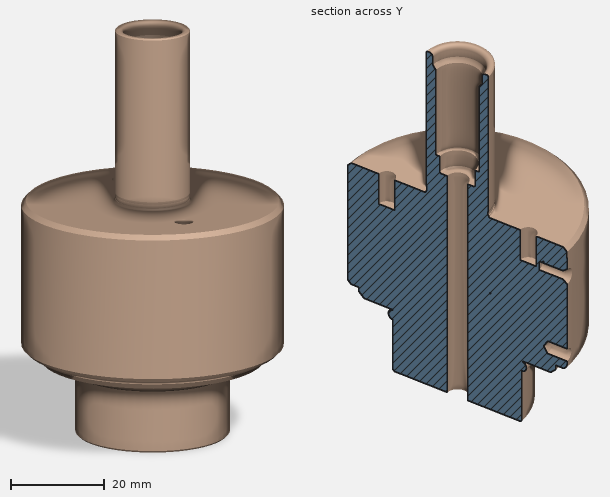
import cadquery as cq
import math

TOTAL_HEIGHT = 89.2
RING_BOTTOM = 13.65
SHOULDER_BOTTOM = 16.3
BODY_BOTTOM = 18.7
BODY_TOP = 51.3

SPIGOT_DIAMETER = 33.0
SHOULDER_DIAMETER = 50.3
BODY_DIAMETER = 56.0
STEM_DIAMETER = 16.0
GROOVE_DIAMETER = 15.7

SPIGOT_CHAMFER = 0.45
SHOULDER_CHAMFER = 1.3
BODY_BOTTOM_CHAMFER = 0.9
BODY_TOP_CHAMFER = 1.0
STEM_TOP_CHAMFER = 0.3

RING_DIAMETER = 35.3

FOOT_FILLET = 0.49
GROOVE_WIDTH = 1.3
GROOVE_LEAD = 0.5

MOUTH_DIAMETER = 12.5
MOUTH_FILLET = 1.0
MOUTH_DEPTH = 3.0
MOUTH_TAPER_LENGTH = 1.1
BORE_DIAMETER = 11.0
BORE_DEPTH = 26.8
POCKET_DIAMETER = 9.0
POCKET_DEPTH = 31.2
POCKET_FLOOR_DIAMETER = 8.4
POCKET_FLOOR_CHAMFER = (POCKET_DIAMETER - POCKET_FLOOR_DIAMETER) / 2
THROUGH_DIAMETER = 5.2

PIN_HOLE_DIAMETER = 4.0
PIN_HOLE_OFFSET = 18.0
PIN_HOLE_DEPTH = 8.0

PORT_DIAMETER = 2.1
PORT_DEPTH = 7.1
PORT_HEIGHT = 43.7
COUNTERSINK_DIAMETER = 4.0
COUNTERSINK_ANGLE = 80.0

DRILLED_DIAMETER = 3.2
DRILLED_HEIGHT = 22.75
DRILLED_DEPTH = 5.0
DRILL_POINT_ANGLE = 118.0


def cone_depth(large_diameter, small_diameter, angle):
    """Length of a cone with the given included angle in degrees."""
    return (large_diameter - small_diameter) / 2 / math.tan(math.radians(angle / 2))


def turned_outside():
    """Solid of revolution for the spigot, ring, shoulder, body and stem."""
    spigot = SPIGOT_DIAMETER / 2
    shoulder = SHOULDER_DIAMETER / 2
    body = BODY_DIAMETER / 2
    stem = STEM_DIAMETER / 2
    groove = GROOVE_DIAMETER / 2
    ring_middle = (RING_BOTTOM + SHOULDER_BOTTOM) / 2
    groove_bottom = BODY_TOP + FOOT_FILLET
    groove_top = groove_bottom + GROOVE_WIDTH
    fillet_bend = FOOT_FILLET * (1 - math.sqrt(0.5))

    return (
        cq.Workplane("XZ")
        .lineTo(spigot - SPIGOT_CHAMFER, 0)
        .lineTo(spigot, SPIGOT_CHAMFER)
        .lineTo(spigot, RING_BOTTOM)
        .threePointArc((RING_DIAMETER / 2, ring_middle), (spigot, SHOULDER_BOTTOM))
        .lineTo(shoulder - SHOULDER_CHAMFER, SHOULDER_BOTTOM)
        .lineTo(shoulder, SHOULDER_BOTTOM + SHOULDER_CHAMFER)
        .lineTo(shoulder, BODY_BOTTOM)
        .lineTo(body - BODY_BOTTOM_CHAMFER, BODY_BOTTOM)
        .lineTo(body, BODY_BOTTOM + BODY_BOTTOM_CHAMFER)
        .lineTo(body, BODY_TOP - BODY_TOP_CHAMFER)
        .lineTo(body - BODY_TOP_CHAMFER, BODY_TOP)
        .lineTo(stem + FOOT_FILLET, BODY_TOP)
        .threePointArc((stem + fillet_bend, BODY_TOP + fillet_bend), (stem, groove_bottom))
        .lineTo(groove, groove_bottom)
        .lineTo(groove, groove_top - GROOVE_LEAD)
        .lineTo(stem, groove_top)
        .lineTo(stem, TOTAL_HEIGHT - STEM_TOP_CHAMFER)
        .lineTo(stem - STEM_TOP_CHAMFER, TOTAL_HEIGHT)
        .lineTo(0, TOTAL_HEIGHT)
        .close()
        .revolve(360, (0, 0, 0), (0, 1, 0))
    )


def stepped_bore():
    """Cutter for the rounded mouth, tapered step, pocket and through hole."""
    mouth = MOUTH_DIAMETER / 2
    bore = BORE_DIAMETER / 2
    pocket = POCKET_DIAMETER / 2
    through = THROUGH_DIAMETER / 2
    taper_top = TOTAL_HEIGHT - MOUTH_DEPTH
    bore_floor = TOTAL_HEIGHT - BORE_DEPTH
    pocket_floor = TOTAL_HEIGHT - POCKET_DEPTH
    fillet_bend = MOUTH_FILLET * (1 - math.sqrt(0.5))

    return (
        cq.Workplane("XZ")
        .lineTo(through, 0)
        .lineTo(through, pocket_floor)
        .lineTo(POCKET_FLOOR_DIAMETER / 2, pocket_floor)
        .lineTo(pocket, pocket_floor + POCKET_FLOOR_CHAMFER)
        .lineTo(pocket, bore_floor)
        .lineTo(bore, bore_floor)
        .lineTo(bore, taper_top - MOUTH_TAPER_LENGTH)
        .lineTo(mouth, taper_top)
        .lineTo(mouth, TOTAL_HEIGHT - MOUTH_FILLET)
        .threePointArc(
            (mouth + fillet_bend, TOTAL_HEIGHT - fillet_bend),
            (mouth + MOUTH_FILLET, TOTAL_HEIGHT),
        )
        .lineTo(0, TOTAL_HEIGHT)
        .close()
        .revolve(360, (0, 0, 0), (0, 1, 0))
    )


def pin_holes():
    """Cutter for the two flat-bottomed holes in the top face of the body."""
    return (
        cq.Workplane("XY", origin=(0, 0, BODY_TOP))
        .pushPoints([(-PIN_HOLE_OFFSET, 0), (PIN_HOLE_OFFSET, 0)])
        .circle(PIN_HOLE_DIAMETER / 2)
        .extrude(-PIN_HOLE_DEPTH)
    )


def radial_cutter(height, outline):
    """Revolve (depth, radius) points about a radial axis entering from -X."""
    side = -BODY_DIAMETER / 2
    points = [(side + depth, height + radius) for depth, radius in outline]
    return (
        cq.Workplane("XZ")
        .polyline(points)
        .close()
        .revolve(360, (side, height, 0), (side + 0.9, height, 0))
    )


def port():
    """Cutter for the blind port and its countersink."""
    radius = PORT_DIAMETER / 2
    countersink_depth = cone_depth(COUNTERSINK_DIAMETER, PORT_DIAMETER, COUNTERSINK_ANGLE)
    return radial_cutter(PORT_HEIGHT, [
        (0, 0),
        (0, COUNTERSINK_DIAMETER / 2),
        (countersink_depth, radius),
        (PORT_DEPTH, radius),
        (PORT_DEPTH, 0),
    ])


def drilled_hole():
    """Cutter for the blind hole with a conical drill point."""
    radius = DRILLED_DIAMETER / 2
    tip = DRILLED_DEPTH + cone_depth(DRILLED_DIAMETER, 0, DRILL_POINT_ANGLE)
    return radial_cutter(DRILLED_HEIGHT, [
        (0, 0),
        (0, radius),
        (DRILLED_DEPTH, radius),
        (tip, 0),
    ])


result = (
    turned_outside()
    .cut(stepped_bore())
    .cut(pin_holes())
    .cut(port())
    .cut(drilled_hole())
)